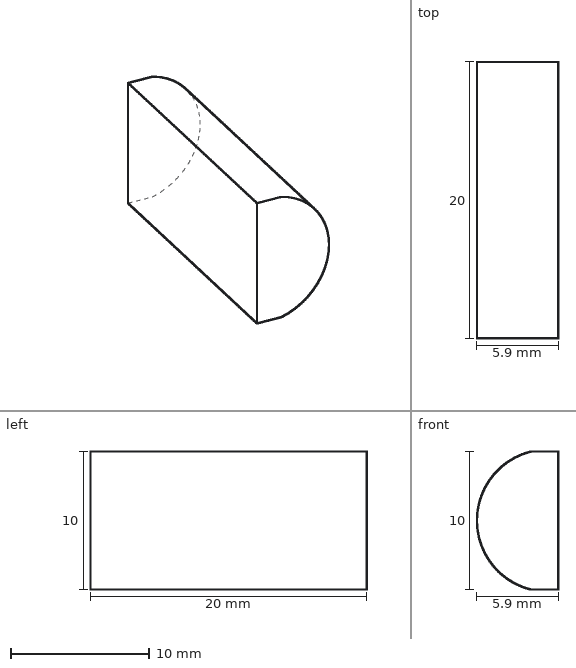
import cadquery as cq

width = 5.9
length = 20.0
height = 10.0

flat_width = 2.0

half_height = height / 2
back_x = width
arc_end_x = back_x - flat_width

profile = (
    cq.Workplane("XZ")
    .moveTo(back_x, -half_height)
    .lineTo(back_x, half_height)
    .lineTo(arc_end_x, half_height)
    .threePointArc((0, 0), (arc_end_x, -half_height))
    .close()
)

result = profile.extrude(length / 2, both=True)